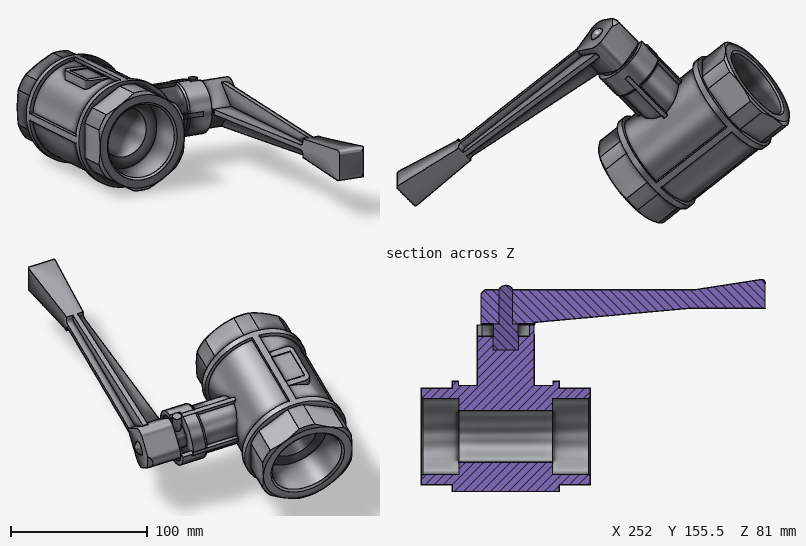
import cadquery as cq
import math


body_length = 124.0
barrel_radius = 37.5
ring_diameter = 81.0
ring_radius = ring_diameter / 2
ring_outer_x = 39.3
ring_width = 4.8
ring_inner_x = ring_outer_x - ring_width
rail_width = 5.3
hex_across_flats = 70.8
hex_corner_radius = 37.8
end_face_radius = 35.3
end_chamfer_length = 1.5

socket_radius = 27.7
socket_depth = 27.7
socket_chamfer = 1.5
passage_radius = 19.0

pad_length = 36.5
pad_far_y = -21.7
pad_top_z = 37.8
pad_corner_radius = 4.5
recess_length = 26.2
recess_near_y = -3.5
recess_far_y = -18.6
recess_depth = 0.8

neck_radius = 18.1
collar_radius = 21.0
collar_top_y = 81.6
collar_bottom_y = 63.5
collar_bevel_y = 62.0
collar_bevel_radius = 20.0
neck_start_y = 59.7
neck_rib_width = 3.5
neck_rib_top_y = 74.3
stop_floor_y = 73.3
stop_wall_x = 4.0
collar_bore_radius = 17.5

stem_radius = 9.0
stem_bottom_y = collar_bottom_y
tip_radius = 5.3
tip_height = 3.3
pin_radius = 3.3
pin_base_z = 6.3
pin_top_z = 21.7
pin_y = (stop_floor_y + collar_top_y) / 2

hub_bottom_y = 82.5
hub_top_y = 107.4
hub_across_flats = 30.2
hub_corner_radius = 7.8
hub_bevel = 3.0
arm_thickness = 3.8
web_start_bottom_y = 83.2
web_start_x = 19.0
flange_center_y = 100.3
flange_start_half_width = 17.0
flange_start_x = 5.3
web_fillet = 3.0

grip_start_x = 135.0
grip_flare_x = 138.0
grip_end_x = 190.0
grip_bottom_y = 93.7
grip_end_top_y = 115.5
grip_start_half_width = 7.3
grip_end_half_width = 11.8
grip_end_fillet = 3.0


def x_cylinder(radius, length):
    """Cylinder on the X axis, centred on the origin."""
    return cq.Workplane("YZ").circle(radius).extrude(length / 2, both=True)


def y_cylinder(radius, bottom_y, top_y):
    """Cylinder on the Y axis between two heights."""
    return cq.Workplane("XZ", origin=(0, bottom_y, 0)).circle(radius).extrude(bottom_y - top_y)


def box_between(low, high):
    """Box between two opposite corners."""
    sizes = [b - a for a, b in zip(low, high)]
    return cq.Workplane("XY").box(*sizes, centered=False).translate(low)


def hexagonal_end(side):
    """Hexagonal end with rounded corners and a turned bevel, on the -X (-1) or +X (+1) side."""
    face_x = side * body_length / 2
    turned = (
        cq.Workplane("XY")
        .moveTo(side * ring_inner_x, 0)
        .lineTo(side * ring_inner_x, hex_corner_radius)
        .lineTo(face_x - side * end_chamfer_length, hex_corner_radius)
        .lineTo(face_x, end_face_radius)
        .lineTo(face_x, 0)
        .close()
        .revolve(360, (0, 0, 0), (1, 0, 0))
    )
    across_corners = hex_across_flats / math.cos(math.pi / 6)
    hexagon = (
        cq.Workplane("YZ")
        .transformed(rotate=(0, 0, 30))
        .polygon(6, across_corners)
        .extrude(body_length / 2, both=True)
    )
    return turned.intersect(hexagon)


def barrel():
    """Round middle relieved between two end rings, leaving rails at the top, bottom and front."""
    envelope = x_cylinder(ring_radius, 2 * ring_outer_x)
    groove_length = 2 * ring_inner_x
    groove = x_cylinder(2 * ring_radius, groove_length).cut(x_cylinder(barrel_radius, groove_length))
    vertical_rails = cq.Workplane("XY").box(groove_length, rail_width, 4 * ring_radius)
    front_rail = box_between(
        (-ring_inner_x, -2 * ring_radius, -rail_width / 2),
        (ring_inner_x, 0, rail_width / 2),
    )
    return envelope.cut(groove.cut(vertical_rails).cut(front_rail))


def label_pad():
    """Flat pad beside the top rail, with a shallow rectangular recess."""
    pad = (
        box_between((-pad_length / 2, pad_far_y, 0), (pad_length / 2, 0, pad_top_z))
        .edges("|Z and <Y")
        .fillet(pad_corner_radius)
    )
    recess = box_between(
        (-recess_length / 2, recess_far_y, pad_top_z - recess_depth),
        (recess_length / 2, recess_near_y, pad_top_z),
    )
    return pad, recess


def neck():
    """Neck and collar, with four ribs running up to the collar."""
    concave_radius = collar_bevel_y - neck_start_y
    concave_mid = (
        neck_radius + (collar_bevel_radius - neck_radius) * (1 - math.sqrt(0.5)),
        neck_start_y + concave_radius * math.sqrt(0.5),
    )
    turned = (
        cq.Workplane("XY")
        .lineTo(neck_radius, 0)
        .lineTo(neck_radius, neck_start_y)
        .threePointArc(concave_mid, (collar_bevel_radius, collar_bevel_y))
        .lineTo(collar_radius, collar_bottom_y)
        .lineTo(collar_radius, collar_top_y)
        .lineTo(0, collar_top_y)
        .close()
        .revolve(360, (0, 0, 0), (0, 1, 0))
    )
    for size_x, size_z in ((2 * collar_radius, neck_rib_width), (neck_rib_width, 2 * collar_radius)):
        rib = box_between((-size_x / 2, 0, -size_z / 2), (size_x / 2, neck_rib_top_y, size_z / 2))
        turned = turned.union(rib)
    return turned


def make_valve_body():
    """Valve body in one piece with its neck and collar."""
    pad, recess = label_pad()
    body = barrel().union(pad).union(neck()).cut(recess)
    for side in (-1, 1):
        body = body.union(hexagonal_end(side))

    body = body.cut(x_cylinder(passage_radius, body_length))
    for side in (-1, 1):
        socket = (
            cq.Workplane("XY")
            .moveTo(side * body_length / 2, 0)
            .lineTo(side * body_length / 2, socket_radius + socket_chamfer)
            .lineTo(side * (body_length / 2 - socket_chamfer), socket_radius)
            .lineTo(side * (body_length / 2 - socket_depth), socket_radius)
            .lineTo(side * (body_length / 2 - socket_depth), 0)
            .close()
            .revolve(360, (0, 0, 0), (1, 0, 0))
        )
        body = body.cut(socket)

    body = body.cut(y_cylinder(collar_bore_radius, stop_floor_y, collar_top_y))
    reach = 2 * collar_radius
    body = body.cut(box_between((-reach, stop_floor_y, 0), (stop_wall_x, collar_top_y, reach)))
    return body.cut(y_cylinder(stem_radius, stem_bottom_y, stop_floor_y))


def make_stop_pin():
    """Round pin along Z, pressed into the side of the stem."""
    base = cq.Workplane("XY", origin=(0, pin_y, pin_base_z))
    return base.circle(pin_radius).extrude(pin_top_z - pin_base_z)


def make_stem(stop_pin):
    """Stepped stem with a domed tip and a radial hole for the stop pin."""
    dome_radius = (tip_radius**2 + tip_height**2) / (2 * tip_height)
    dome_top_y = hub_top_y + tip_height
    half_angle = math.asin(tip_radius / dome_radius) / 2
    dome_mid = (
        dome_radius * math.sin(half_angle),
        dome_top_y - dome_radius * (1 - math.cos(half_angle)),
    )
    stem = (
        cq.Workplane("XY")
        .moveTo(0, stem_bottom_y)
        .lineTo(stem_radius, stem_bottom_y)
        .lineTo(stem_radius, hub_bottom_y)
        .lineTo(tip_radius, hub_bottom_y)
        .lineTo(tip_radius, hub_top_y)
        .threePointArc(dome_mid, (0, dome_top_y))
        .close()
        .revolve(360, (0, 0, 0), (0, 1, 0))
    )
    return stem.cut(stop_pin)


def hub():
    """Square hub turned 45 degrees, with a sharp corner inside the arm and the opposite one bevelled."""
    block = (
        cq.Workplane("XY")
        .box(hub_across_flats, hub_top_y - hub_bottom_y, hub_across_flats)
        .edges("|Y and (not (>X and >Z))")
        .fillet(hub_corner_radius)
        .rotate((0, 0, 0), (0, 1, 0), 45)
        .translate((0, (hub_top_y + hub_bottom_y) / 2, 0))
    )
    corner_x = -hub_across_flats / math.sqrt(2) + hub_corner_radius * (math.sqrt(2) - 1)
    bevel = (
        cq.Workplane("XY")
        .moveTo(corner_x, hub_top_y - hub_bevel)
        .lineTo(corner_x, hub_top_y)
        .lineTo(corner_x + hub_bevel, hub_top_y)
        .close()
        .extrude(hub_across_flats, both=True)
    )
    return block.cut(bevel)


def arm():
    """Cross-shaped arm: a tapered upright web and a tapered flat flange."""
    half_thickness = arm_thickness / 2
    web = (
        cq.Workplane("XY")
        .polyline(
            [
                (0, hub_top_y),
                (0, web_start_bottom_y),
                (web_start_x, web_start_bottom_y),
                (grip_start_x, grip_bottom_y),
                (grip_start_x, hub_top_y),
            ]
        )
        .close()
        .extrude(grip_start_half_width, both=True)
    )
    fillet_mid = web_fillet * (1 - math.sqrt(0.5))
    flare_x = grip_start_x - web_fillet
    web_plan = (
        cq.Workplane("XZ")
        .moveTo(0, -half_thickness)
        .lineTo(flare_x, -half_thickness)
        .threePointArc(
            (grip_start_x - fillet_mid, -half_thickness - fillet_mid),
            (grip_start_x, -half_thickness - web_fillet),
        )
        .lineTo(grip_start_x, half_thickness + web_fillet)
        .threePointArc(
            (grip_start_x - fillet_mid, half_thickness + fillet_mid),
            (flare_x, half_thickness),
        )
        .lineTo(0, half_thickness)
        .close()
        .extrude(-2 * hub_top_y)
    )
    flange = (
        cq.Workplane("XZ", origin=(0, flange_center_y, 0))
        .polyline(
            [
                (flange_start_x, -flange_start_half_width),
                (grip_start_x, -grip_start_half_width),
                (grip_start_x, grip_start_half_width),
                (flange_start_x, flange_start_half_width),
            ]
        )
        .close()
        .extrude(half_thickness, both=True)
    )
    return web.intersect(web_plan).union(flange)


def grip():
    """Grip that widens on three sides towards its rounded end."""
    side = (
        cq.Workplane("XY")
        .polyline(
            [
                (grip_start_x, grip_bottom_y),
                (grip_end_x, grip_bottom_y),
                (grip_end_x, grip_end_top_y),
                (grip_flare_x, hub_top_y),
                (grip_start_x, hub_top_y),
            ]
        )
        .close()
        .extrude(grip_end_half_width, both=True)
        .edges("|Z and >X and >Y")
        .fillet(grip_end_fillet)
    )
    plan = (
        cq.Workplane("XZ")
        .polyline(
            [
                (grip_start_x, -grip_start_half_width),
                (grip_flare_x, -grip_start_half_width),
                (grip_end_x, -grip_end_half_width),
                (grip_end_x, grip_end_half_width),
                (grip_flare_x, grip_start_half_width),
                (grip_start_x, grip_start_half_width),
            ]
        )
        .close()
        .extrude(-2 * grip_end_top_y)
        .edges("|Y and >X")
        .fillet(grip_end_fillet)
    )
    return side.intersect(plan)


def make_handle():
    """Hub, arm and grip in one piece, with a hole for the stem tip."""
    handle = hub().union(arm()).union(grip())
    return handle.cut(y_cylinder(tip_radius, hub_bottom_y, hub_top_y))


valve_body = make_valve_body()
stop_pin = make_stop_pin()
stem = make_stem(stop_pin)
handle = make_handle()

result = cq.Compound.makeCompound([body.solids().val() for body in (valve_body, stem, stop_pin, handle)])